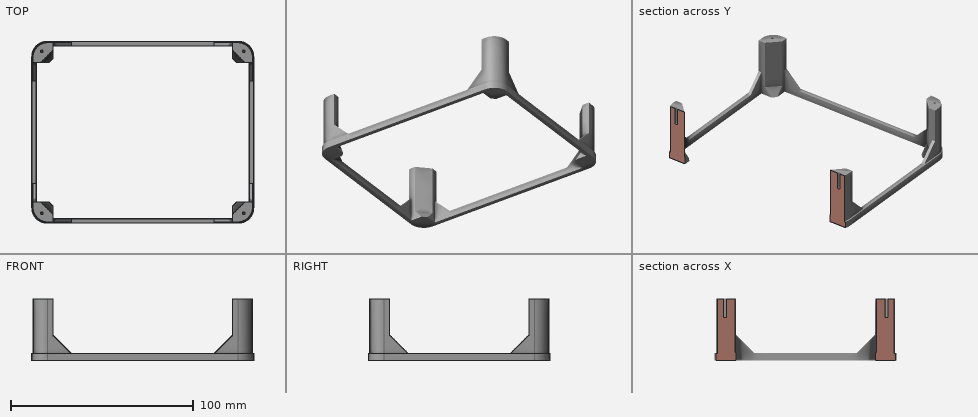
import cadquery as cq

length = 121.8
width = 99.8
total_height = 33.9
frame_height = 4.0
frame_wall = 2.5
frame_radius = 8.5

post_inset = 0.7
post_size = 11.0
post_radius = frame_radius - post_inset
top_chamfer = 6.8
foot_chamfer = 2.3
foot_height = 5.0

gusset_leg = 10.0
gusset_thickness = frame_wall - post_inset

hole_diameter = 1.3
hole_depth = 10.0
hole_offset = 5.5


def make_frame():
    """Rectangular ring of even wall with rounded corners, standing on Z = 0."""
    outer = cq.Workplane("XY").rect(length, width).extrude(frame_height).edges("|Z").fillet(frame_radius)
    opening = (
        cq.Workplane("XY")
        .rect(length - 2 * frame_wall, width - 2 * frame_wall)
        .extrude(frame_height)
        .edges("|Z")
        .fillet(frame_radius - frame_wall)
    )
    return outer.cut(opening)


def inner_corner_profile(z, chamfer):
    """Triangle that cuts the inner corner of a post by the given chamfer leg."""
    inner = post_inset + post_size
    corners = [(inner, inner), (inner - chamfer, inner), (inner, inner - chamfer)]
    return cq.Wire.makePolygon([cq.Vector(x, y, z) for x, y in corners], close=True)


def make_post():
    """Post for a frame corner at the origin, with the frame along +X and +Y."""
    post = (
        cq.Workplane("XY")
        .box(post_size, post_size, total_height, centered=False)
        .translate((post_inset, post_inset, 0))
        .edges("|Z and <X and <Y")
        .fillet(post_radius)
    )
    upper_cut = cq.Solid.makeLoft(
        [inner_corner_profile(foot_height, top_chamfer), inner_corner_profile(total_height, top_chamfer)], True
    )
    foot_cut = cq.Solid.makeLoft(
        [inner_corner_profile(0, foot_chamfer), inner_corner_profile(foot_height, top_chamfer)], True
    )
    return post.cut(cq.Workplane(upper_cut)).cut(cq.Workplane(foot_cut))


def make_gusset(plane, direction):
    """Triangular web rising from the frame to the side of a post."""
    start = post_inset + post_size
    return (
        cq.Workplane(plane)
        .workplane(offset=direction * post_inset)
        .moveTo(start, frame_height)
        .lineTo(start + gusset_leg, frame_height)
        .lineTo(start, frame_height + gusset_leg)
        .close()
        .extrude(direction * gusset_thickness)
    )


def make_hole():
    """Screw hole cutter, entering the post from its top."""
    return (
        cq.Workplane("XY", origin=(hole_offset, hole_offset, total_height))
        .circle(hole_diameter / 2)
        .extrude(-hole_depth)
    )


def make_corner():
    """Post with its two gussets and its hole, at the -X, -Y corner of the frame."""
    gusset_along_x = make_gusset("XZ", -1)
    gusset_along_y = make_gusset("YZ", 1)
    corner = make_post().union(gusset_along_x).union(gusset_along_y).cut(make_hole())
    return corner.translate((-length / 2, -width / 2, 0))


corner = make_corner()
opposite_corner = corner.mirror("YZ")
result = make_frame()
for front_corner in (corner, opposite_corner):
    result = result.union(front_corner).union(front_corner.mirror("XZ"))